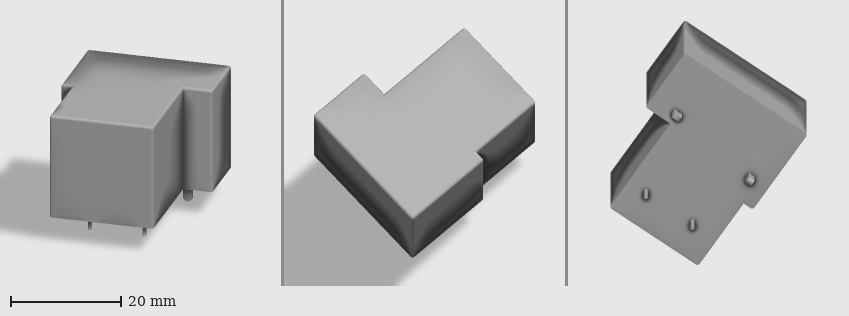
import cadquery as cq


housing_width = 27.2
housing_depth = 32.0
housing_height = 20.0
left_step_width = 2.05
left_step_depth = 14.5
right_step_width = 5.5
right_step_depth = 19.5
edge_radius = 0.5

pin_diameter = 0.7
pin_length = 4.3
pin_spacing = 10.28
first_pin_x = 7.85
pin_y = 6.53
pin_positions_x = [first_pin_x, first_pin_x + pin_spacing]

blade_length = 3.3

side_blade_width = 1.2
side_blade_thickness = 1.2
side_blade_x = 4.05
side_blade_y = 19.4

rear_blade_width = 1.65
rear_blade_thickness = 0.8
rear_blade_x = 21.93
rear_blade_y = 21.93


def make_housing():
    """Stepped block with rounded outer corners and a rounded top rim."""
    front_right_x = housing_width - right_step_width
    block = (
        cq.Workplane("XY")
        .moveTo(left_step_width, 0)
        .lineTo(front_right_x, 0)
        .lineTo(front_right_x, right_step_depth)
        .lineTo(housing_width, right_step_depth)
        .lineTo(housing_width, housing_depth)
        .lineTo(0, housing_depth)
        .lineTo(0, left_step_depth)
        .lineTo(left_step_width, left_step_depth)
        .close()
        .extrude(housing_height)
    )

    outer_corners = [
        (left_step_width, 0),
        (front_right_x, 0),
        (housing_width, right_step_depth),
        (housing_width, housing_depth),
        (0, housing_depth),
        (0, left_step_depth),
    ]
    rounded_edges = block.faces(">Z").edges()
    for x, y in outer_corners:
        corner_point = (x, y, housing_height / 2)
        rounded_edges = rounded_edges.add(block.edges(cq.selectors.NearestToPointSelector(corner_point)))
    return rounded_edges.fillet(edge_radius)


def make_round_pin(x):
    """Straight round pin hanging from the underside of the housing."""
    pin = cq.Workplane("XY").circle(pin_diameter / 2).extrude(-pin_length)
    return pin.translate((x, pin_y, 0))


def make_blade(plane, width, thickness):
    """Blade centred on the origin, with its width along the local X of an upright plane."""
    half_width = width / 2
    straight_length = blade_length - half_width
    return (
        cq.Workplane(plane)
        .moveTo(-half_width, 0)
        .lineTo(-half_width, -straight_length)
        .threePointArc((0, -blade_length), (half_width, -straight_length))
        .lineTo(half_width, 0)
        .close()
        .extrude(thickness / 2, both=True)
    )


housing = make_housing()

round_pins = []
for pin_x in pin_positions_x:
    round_pins.append(make_round_pin(pin_x).val())

side_blade = make_blade("YZ", side_blade_width, side_blade_thickness)
side_blade = side_blade.translate((side_blade_x, side_blade_y, 0))

rear_blade = make_blade("XZ", rear_blade_width, rear_blade_thickness)
rear_blade = rear_blade.translate((rear_blade_x, rear_blade_y, 0))

result = cq.Compound.makeCompound([housing.val(), *round_pins, side_blade.val(), rear_blade.val()])